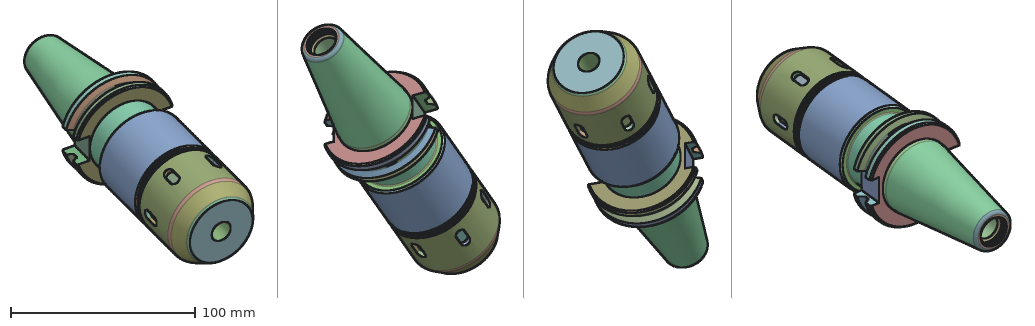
import cadquery as cq
import math


TAPER_SLOPE = 3.5 / 24
NECK_RADIUS = 22.2
TAPER_LENGTH = 68.1
TAPER_END_FILLET = 2.0
TAPER_END_RADIUS = NECK_RADIUS - TAPER_SLOPE * TAPER_LENGTH

FLANGE_START = 71.0
FLANGE_END = 87.0
FLANGE_RADIUS = 31.6
FLANGE_CHAMFER = 1.0
GROOVE_CENTRE = 79.3
GROOVE_WIDTH = 7.3
GROOVE_ROOT_RADIUS = 28.0
GROOVE_HALF_ANGLE = 30
GROOVE_ROOT_FILLET = 0.5
KEYWAY_WIDTH = 16.4
KEYWAY_FLOOR_FRONT = 22.4
KEYWAY_FLOOR_BACK = 24.7

BARREL_START = 103.2
BARREL_END = 142.5
BARREL_RADIUS = 26.5
BARREL_REAR_CHAMFER = 1.1
BARREL_FRONT_CHAMFER = 1.0
NECK_FILLET = 0.5

ENTRY_RADIUS = 8.8
ENTRY_DEPTH = 1.0
COUNTERBORE_RADIUS = 8.19
COUNTERBORE_END = 2.5
RELIEF_RADIUS = 8.38
RELIEF_END = 4.3
THREAD_RADIUS = 6.87
THREAD_START = 5.8
THREAD_END = 24.5
BORE_RADIUS = 6.0

NUT_START = 142.9
NUT_END = 188.2
NUT_COLLAR_RADIUS = 26.0
NUT_COLLAR_END = 145.5
NUT_EDGE_CHAMFER = 0.5
NUT_REAR_CHAMFER = 1.0
NUT_NOSE_START = 177.5
NUT_NOSE_ANGLE = 30
NUT_NOSE_FILLET = 4.5
NUT_NOSE_END = 187.0
NUT_FACE_RADIUS = 19.86

SLOT_COUNT = 6
SLOT_CENTRE = 158.1
SLOT_LENGTH = 12.2
SLOT_WIDTH = 5.6
SLOT_FLOOR = 23.3


def turned(points):
    """Solid of revolution about X from (x, radius) points, closed along the axis."""
    outline = [(points[0][0], 0), *points, (points[-1][0], 0)]
    return cq.Workplane("XY").polyline(outline).close().revolve(360, (0, 0), (1, 0))


def circle_at(x, radius):
    """Selector for the circular edges of a given radius at a given X."""
    margin = 0.02
    return cq.selectors.BoxSelector(
        (x - margin, -radius - margin, -radius - margin),
        (x + margin, radius + margin, radius + margin),
        boundingbox=True,
    )


def holder_blank():
    """Taper, neck, flange and barrel, with the short neck that carries the nut."""
    groove_run = (FLANGE_RADIUS - GROOVE_ROOT_RADIUS) * math.tan(math.radians(GROOVE_HALF_ANGLE))
    groove_start = GROOVE_CENTRE - GROOVE_WIDTH / 2
    groove_end = GROOVE_CENTRE + GROOVE_WIDTH / 2
    root_start = groove_start + groove_run
    root_end = groove_end - groove_run
    blank = turned([
        (0, TAPER_END_RADIUS),
        (TAPER_LENGTH, NECK_RADIUS),
        (FLANGE_START, NECK_RADIUS),
        (FLANGE_START, FLANGE_RADIUS - FLANGE_CHAMFER),
        (FLANGE_START + FLANGE_CHAMFER, FLANGE_RADIUS),
        (groove_start, FLANGE_RADIUS),
        (root_start, GROOVE_ROOT_RADIUS),
        (root_end, GROOVE_ROOT_RADIUS),
        (groove_end, FLANGE_RADIUS),
        (FLANGE_END - FLANGE_CHAMFER, FLANGE_RADIUS),
        (FLANGE_END, FLANGE_RADIUS - FLANGE_CHAMFER),
        (FLANGE_END, NECK_RADIUS),
        (BARREL_START, NECK_RADIUS),
        (BARREL_START, BARREL_RADIUS - BARREL_REAR_CHAMFER),
        (BARREL_START + BARREL_REAR_CHAMFER, BARREL_RADIUS),
        (BARREL_END - BARREL_FRONT_CHAMFER, BARREL_RADIUS),
        (BARREL_END, BARREL_RADIUS - BARREL_FRONT_CHAMFER),
        (BARREL_END, NECK_RADIUS),
        (NUT_START, NECK_RADIUS),
    ])
    blank = blank.edges(circle_at(0, TAPER_END_RADIUS)).fillet(TAPER_END_FILLET)
    blank = blank.edges(circle_at(BARREL_START, NECK_RADIUS)).fillet(NECK_FILLET)
    for root_x in (root_start, root_end):
        blank = blank.edges(circle_at(root_x, GROOVE_ROOT_RADIUS)).fillet(GROOVE_ROOT_FILLET)
    return blank


def keyway(side, floor):
    """Block that cuts one keyway across the flange; side is -1 for -Y and +1 for +Y."""
    length = FLANGE_END - FLANGE_START
    depth = FLANGE_RADIUS - floor
    return cq.Workplane("XY").box(length, depth, KEYWAY_WIDTH).translate(
        ((FLANGE_START + FLANGE_END) / 2, side * (floor + depth / 2), 0)
    )


def holder_bore():
    """Stepped drawbar hole that narrows to the through bore."""
    shoulder = THREAD_RADIUS - BORE_RADIUS
    return turned([
        (0, ENTRY_RADIUS),
        (ENTRY_DEPTH, COUNTERBORE_RADIUS),
        (COUNTERBORE_END, COUNTERBORE_RADIUS),
        (COUNTERBORE_END, RELIEF_RADIUS),
        (RELIEF_END, RELIEF_RADIUS),
        (THREAD_START, THREAD_RADIUS),
        (THREAD_END, THREAD_RADIUS),
        (THREAD_END + shoulder, BORE_RADIUS),
        (NUT_START, BORE_RADIUS),
    ])


def make_holder():
    return (
        holder_blank()
        .cut(keyway(-1, KEYWAY_FLOOR_FRONT))
        .cut(keyway(1, KEYWAY_FLOOR_BACK))
        .cut(holder_bore())
    )


def nut_blank():
    """Collar, cylinder and conical nose, with the bore through them."""
    nose_drop = (NUT_NOSE_END - NUT_NOSE_START) * math.tan(math.radians(NUT_NOSE_ANGLE))
    blank = turned([
        (NUT_START, NUT_COLLAR_RADIUS - NUT_REAR_CHAMFER),
        (NUT_START + NUT_REAR_CHAMFER, NUT_COLLAR_RADIUS),
        (NUT_COLLAR_END, NUT_COLLAR_RADIUS),
        (NUT_COLLAR_END + NUT_EDGE_CHAMFER, BARREL_RADIUS),
        (NUT_NOSE_START, BARREL_RADIUS),
        (NUT_NOSE_END, BARREL_RADIUS - nose_drop),
        (NUT_END, NUT_FACE_RADIUS),
    ])
    blank = blank.edges(circle_at(NUT_NOSE_START, BARREL_RADIUS)).fillet(NUT_NOSE_FILLET)
    bore = turned([(NUT_START, BORE_RADIUS), (NUT_END, BORE_RADIUS)])
    return blank.cut(bore)


def wrench_slot(angle):
    """Rounded slot cutter on the -Y side, turned about X by the given angle."""
    return (
        cq.Workplane("XZ", origin=(SLOT_CENTRE, -SLOT_FLOOR, 0))
        .slot2D(SLOT_LENGTH, SLOT_WIDTH)
        .extrude(BARREL_RADIUS - SLOT_FLOOR)
        .rotate((0, 0, 0), (1, 0, 0), angle)
    )


def make_nut():
    nut = nut_blank()
    for index in range(SLOT_COUNT):
        nut = nut.cut(wrench_slot(index * 360 / SLOT_COUNT))
    return nut


holder = make_holder()
nut = make_nut()

result = cq.Compound.makeCompound([holder.val(), nut.val()])